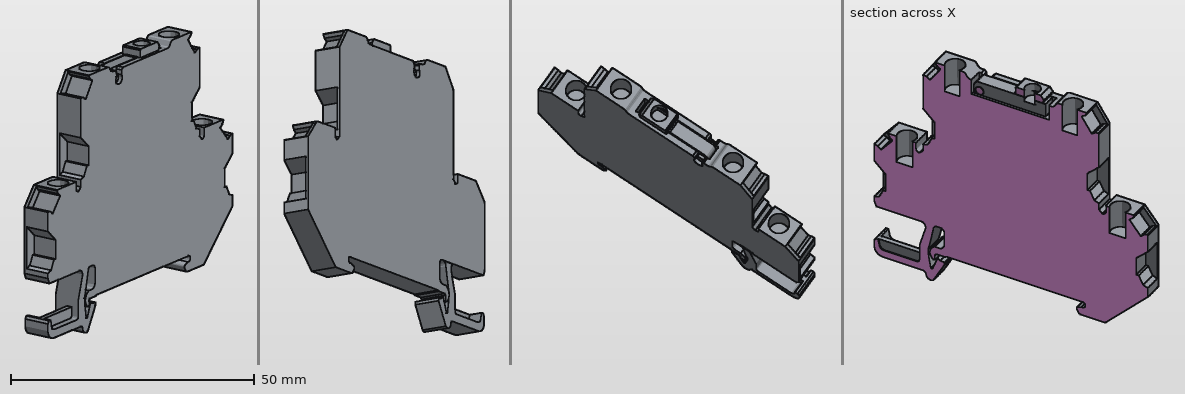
import cadquery as cq
import math

thickness = 6.0
half_thickness = thickness / 2
half_length = 32.5
overall_height = 55.85

tower_half = 20.9
tower_top = 55.3
tower_chamfer_y = 2.9
tower_chamfer_z = 4.3
deck_z = 53.95
ramp_top_y = 10.85
ramp_foot_y = 10.2
ramp_radius = 1.1
shoulder_top = 33.5
shoulder_chamfer_y = 3.3
shoulder_chamfer_z = 3.95
relief_width = 1.55
relief_bottom = 31.2
wing_bottom = 14.0
wing_corner_y = 0.5
wing_corner_z = 1.25
rail_z = 7.2
heel_y = 22.35
heel_z = 3.9

label_wall = 0.8
groove_lip = 0.2
groove_flare_depth = 0.8
groove_flare = 0.3
groove_depth = 1.75

entry_wall = 0.6
entry_depth = 2.7
entry_ledge_depth = 2.15
entry_step_depth = 1.1
tower_entry_top = 42.6
shoulder_entry_top = 25.35
entry_slope_drop = 2.55
entry_floor_drop = 6.6
entry_step_drop = 8.65
entry_drop = 9.05

screw_diameter = 4.3
screw_depth = 6.5
shoulder_screw_y = 25.3
shoulder_screw_x = 0.4
tower_screw_y = 14.0
tower_screw_x = 0.2

foot_inset = 0.2
tray_floor = 3.65
tray_top = 6.0
tray_inner_start = -21.8
tray_inner_end = -31.25
tray_lip_inner = -31.5
web_start_x = 0.1
web_thickness = 1.2

lever_slot_width = 3.25
lever_slot_back = 9.05
lever_slot_front = -9.35
lever_slot_bottom = 50.4
arm_width = 2.85
arm_back = 8.2
arm_front = -8.85
arm_ramp_rise = 0.2
arm_nose_radius = 1.3
arm_ramp_start = 1.25
arm_ramp_end = 0.65
head_width = 4.4
head_back = 7.85
head_front = 1.05
head_undercut = 0.4
head_nose_z = 54.85
head_slope_run = 0.8
head_bevel = 0.25
lever_hole_diameter = 3.45
lever_hole_depth = 2.9
lever_hole_x = 0.2
lever_hole_y = 4.4
pivot_y = -7.5
pivot_z = 51.8
pivot_hole_radius = 1.1
pin_radius = 1.0
pin_length = 4.3
neck_width = 1.75
neck_mouth_width = 2.7
neck_mouth_depth = 0.45


def side_plane(x):
    """Sketch plane facing +X at the given X, with local axes Y and Z."""
    return cq.Workplane("YZ").workplane(offset=x)


def fillet_ridges(body, places, radius):
    """Round the edges that run along X through the given (Y, Z) places."""
    reach = 0.05
    for y, z in places:
        corner_low = (-thickness, y - reach, z - reach)
        corner_high = (thickness, y + reach, z + reach)
        body = body.edges(cq.selectors.BoxSelector(corner_low, corner_high)).fillet(radius)
    return body


def make_plate():
    relief_outer = tower_half + relief_width
    relief_middle = tower_half + relief_width / 2
    relief_radius = relief_width / 2
    relief_spring = relief_bottom + relief_radius
    arc_reach = relief_radius * math.sqrt(0.5)
    relief_arc_y = relief_middle + arc_reach
    relief_arc_z = relief_spring - arc_reach
    tower_corner_z = tower_top - tower_chamfer_z
    shoulder_corner_z = shoulder_top - shoulder_chamfer_z
    outline = (
        side_plane(-half_thickness)
        .moveTo(half_length, wing_bottom)
        .lineTo(half_length, shoulder_corner_z)
        .lineTo(half_length - shoulder_chamfer_y, shoulder_top)
        .lineTo(relief_outer, shoulder_top)
        .lineTo(relief_outer, relief_spring)
        .threePointArc((relief_arc_y, relief_arc_z), (relief_middle, relief_bottom))
        .lineTo(tower_half, relief_spring)
        .lineTo(tower_half, tower_corner_z)
        .lineTo(tower_half - tower_chamfer_y, tower_top)
        .lineTo(ramp_top_y, tower_top)
        .lineTo(ramp_foot_y, deck_z)
        .lineTo(-ramp_foot_y, deck_z)
        .lineTo(-ramp_top_y, tower_top)
        .lineTo(tower_chamfer_y - tower_half, tower_top)
        .lineTo(-tower_half, tower_corner_z)
        .lineTo(-tower_half, relief_spring)
        .lineTo(-relief_middle, relief_bottom)
        .threePointArc((-relief_arc_y, relief_arc_z), (-relief_outer, relief_spring))
        .lineTo(-relief_outer, shoulder_top)
        .lineTo(shoulder_chamfer_y - half_length, shoulder_top)
        .lineTo(-half_length, shoulder_corner_z)
        .lineTo(-half_length, wing_bottom + wing_corner_z)
        .lineTo(wing_corner_y - half_length, wing_bottom)
        .lineTo(-16.8, wing_bottom)
        .threePointArc((-16.2, 13.7), (-15.9, 13.1))
        .lineTo(-15.9, 9.9)
        .threePointArc((-16.25, 9.15), (-16.95, 8.85))
        .lineTo(-18.1, 8.85)
        .threePointArc((-19.3, 7.15), (-18.4, 5.4))
        .lineTo(-18.0, 5.5)
        .lineTo(-18.0, 6.7)
        .lineTo(-17.7, 7.0)
        .lineTo(-15.6, 7.0)
        .lineTo(-15.35, rail_z)
        .lineTo(16.8, rail_z)
        .threePointArc((17.6, 6.55), (16.8, 6.0))
        .lineTo(15.85, 5.6)
        .threePointArc((15.55, 5.3), (15.6, 4.95))
        .lineTo(16.05, 4.1)
        .lineTo(16.45, heel_z)
        .lineTo(heel_y, heel_z)
        .close()
    )
    plate = outline.extrude(thickness)
    ramp_corners = [
        (side * y, z)
        for side in (-1, 1)
        for y, z in ((ramp_top_y, tower_top), (ramp_foot_y, deck_z))
    ]
    return fillet_ridges(plate, ramp_corners, ramp_radius)


def make_clip_foot():
    foot_width = thickness - foot_inset
    foot = (
        side_plane(foot_inset - half_thickness)
        .moveTo(-17.7, wing_bottom)
        .threePointArc((-18.2, 13.65), (-18.4, 13.0))
        .lineTo(-19.3, 8.7)
        .lineTo(-19.6, 7.6)
        .lineTo(-19.5, 6.05)
        .lineTo(-19.0, 3.1)
        .lineTo(-18.65, 3.1)
        .lineTo(-17.4, 6.3)
        .lineTo(-16.8, 5.8)
        .lineTo(-15.7, 5.7)
        .lineTo(-15.7, 5.1)
        .lineTo(-18.4, 0.25)
        .threePointArc((-18.7, 0.05), (-19.05, 0))
        .threePointArc((-19.75, 0.25), (-20.2, 1.0))
        .threePointArc((-20.35, 1.5), (-20.75, 1.8))
        .lineTo(-30.4, 1.8)
        .threePointArc((-31.9, 2.5), (-half_length, 3.85))
        .lineTo(-half_length, 5.4)
        .lineTo(-32.1, tray_top)
        .lineTo(tray_lip_inner, tray_top)
        .lineTo(tray_inner_end, 4.95)
        .threePointArc((-30.95, 4.0), (-30.15, tray_floor))
        .lineTo(-22.4, tray_floor)
        .threePointArc((-22.0, 3.85), (tray_inner_start, 4.3))
        .lineTo(tray_inner_start, 7.85)
        .lineTo(-20.35, 12.6)
        .threePointArc((-20.5, 13.45), (-21.05, wing_bottom))
        .close()
        .extrude(foot_width)
    )
    sink = 0.5
    web = (
        side_plane(web_start_x)
        .moveTo(tray_inner_start + sink, tray_floor - sink)
        .lineTo(tray_inner_end, tray_floor - sink)
        .lineTo(tray_inner_end - sink, tray_top - sink)
        .lineTo(tray_lip_inner, tray_top)
        .lineTo(tray_inner_start + sink, tray_top)
        .close()
        .extrude(web_thickness)
    )
    return foot.union(web)


def label_groove(side, edge_y, edge_z, run_y, run_z):
    """Flared groove along a chamfer that falls from (edge_y, edge_z) by run_y and run_z."""
    slope = math.hypot(run_y, run_z)
    overshoot = 0.65
    flare_slope = groove_flare / groove_flare_depth

    def place(along, depth):
        y = edge_y + (along * run_y - depth * run_z) / slope
        z = edge_z - (along * run_z + depth * run_y) / slope
        return side * y, z

    far = slope - groove_lip
    inner_near = groove_lip + groove_flare
    inner_far = far - groove_flare
    mouth_extra = overshoot * flare_slope
    points = [
        place(groove_lip - mouth_extra, -overshoot),
        place(inner_near, groove_flare_depth),
        place(inner_near, groove_depth),
        place(inner_far, groove_depth),
        place(inner_far, groove_flare_depth),
        place(far + mouth_extra, -overshoot),
    ]
    return side_plane(label_wall - half_thickness).polyline(points).close().extrude(thickness)


def wire_entry(side, face_y, top):
    """Funnel-shaped recess in an upright end face, open toward +X."""
    points = [
        (side * face_y, top),
        (side * (face_y - entry_depth), top - entry_slope_drop),
        (side * (face_y - entry_depth), top - entry_floor_drop),
        (side * (face_y - entry_ledge_depth), top - entry_floor_drop),
        (side * (face_y - entry_step_depth), top - entry_step_drop),
        (side * face_y, top - entry_drop),
    ]
    return side_plane(entry_wall - half_thickness).polyline(points).close().extrude(thickness)


def screw_hole(x, y, top):
    return (
        cq.Workplane("XY", origin=(x, y, top - screw_depth))
        .circle(screw_diameter / 2)
        .extrude(screw_depth)
    )


def lever_seat():
    """Slot for the lever arm with a keyhole bearing for its pivot pin."""
    slot = (
        side_plane(-lever_slot_width / 2)
        .moveTo(lever_slot_back, deck_z)
        .lineTo(lever_slot_front, deck_z)
        .lineTo(lever_slot_front, lever_slot_bottom)
        .lineTo(lever_slot_back, lever_slot_bottom)
        .close()
        .extrude(lever_slot_width)
    )
    bearing = (
        side_plane(-half_thickness)
        .center(pivot_y, pivot_z)
        .circle(pivot_hole_radius)
        .extrude(thickness)
    )
    neck_half = neck_width / 2
    mouth_half = neck_mouth_width / 2
    neck = (
        side_plane(-half_thickness)
        .moveTo(pivot_y + neck_half, pivot_z)
        .lineTo(pivot_y + neck_half, deck_z - neck_mouth_depth)
        .lineTo(pivot_y + mouth_half, deck_z)
        .lineTo(pivot_y - mouth_half, deck_z)
        .lineTo(pivot_y - neck_half, deck_z - neck_mouth_depth)
        .lineTo(pivot_y - neck_half, pivot_z)
        .close()
        .extrude(thickness)
    )
    return slot.union(bearing).union(neck)


def make_housing():
    housing = make_plate().union(make_clip_foot())
    tower_edge = tower_half - tower_chamfer_y
    shoulder_edge = half_length - shoulder_chamfer_y
    for side in (-1, 1):
        cutters = [
            label_groove(side, tower_edge, tower_top, tower_chamfer_y, tower_chamfer_z),
            label_groove(side, shoulder_edge, shoulder_top, shoulder_chamfer_y, shoulder_chamfer_z),
            wire_entry(side, tower_half, tower_entry_top),
            wire_entry(side, half_length, shoulder_entry_top),
            screw_hole(tower_screw_x, side * tower_screw_y, tower_top),
            screw_hole(shoulder_screw_x, side * shoulder_screw_y, shoulder_top),
        ]
        for cutter in cutters:
            housing = housing.cut(cutter)
    return housing.cut(lever_seat())


def make_lever():
    arm_bottom = pivot_z - pin_radius
    arm = (
        side_plane(-arm_width / 2)
        .moveTo(arm_back, arm_bottom)
        .lineTo(arm_back, deck_z)
        .lineTo(head_back - head_undercut, deck_z)
        .lineTo(arm_ramp_start, deck_z + arm_ramp_rise)
        .lineTo(arm_ramp_end, deck_z)
        .lineTo(arm_front, deck_z)
        .lineTo(arm_front, arm_bottom)
        .close()
        .extrude(arm_width)
    )
    arm = fillet_ridges(arm, [(arm_front, deck_z)], arm_nose_radius)
    head = (
        side_plane(-head_width / 2)
        .moveTo(head_back - head_undercut, deck_z)
        .lineTo(head_back, head_nose_z)
        .lineTo(head_back - head_slope_run, overall_height)
        .lineTo(head_front + head_bevel, overall_height)
        .lineTo(head_front, overall_height - head_bevel)
        .lineTo(head_front, deck_z)
        .close()
        .extrude(head_width)
    )
    pin = side_plane(-pin_length / 2).center(pivot_y, pivot_z).circle(pin_radius).extrude(pin_length)
    screw_recess = (
        cq.Workplane("XY", origin=(lever_hole_x, lever_hole_y, overall_height - lever_hole_depth))
        .circle(lever_hole_diameter / 2)
        .extrude(lever_hole_depth)
    )
    return arm.union(head).union(pin).cut(screw_recess)


housing = make_housing()
lever = make_lever()
result = cq.Compound.makeCompound([*housing.solids().vals(), *lever.solids().vals()])